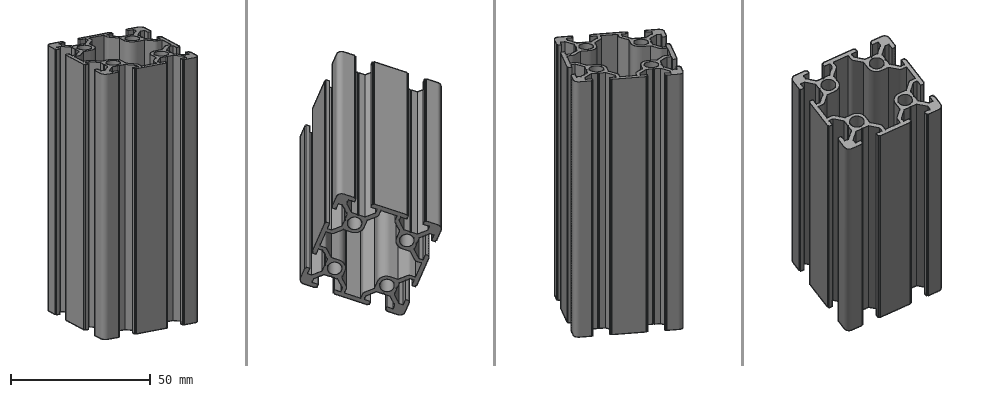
import cadquery as cq
import math

side = 40.0
length = 100.0
half_side = side / 2
corner_radius = 2.0

slot_offset = side / 4
slot_opening = 6.2
slot_inner_width = 11.0
slot_floor_width = 5.2
slot_depth = 6.2
lip_thickness = 1.7
step_width = 0.7
step_depth = 0.3
step_slant = 0.3
groove_width = 0.6
groove_depth = 0.3
flank_depth = slot_depth - (slot_inner_width - slot_floor_width) / 2

straight_wall = 1.4
slanted_wall = 1.6

bore_diameter = 5.2
boss_half_width = 3.8
boss_side = slot_offset - boss_half_width
boss_corner_radius = 3.5

bay_end = half_side - lip_thickness
bay_half_width = half_side - slot_offset - slot_inner_width / 2 - straight_wall
bend_radius = 1.5
slot_flank_sum = slot_offset - slot_inner_width / 2 + half_side - flank_depth
cavity_flank_sum = slot_flank_sum - slanted_wall * math.sqrt(2)
boss_shoulder = cavity_flank_sum - boss_side
bay_shoulder = cavity_flank_sum - bay_half_width


def extrude_outline(points):
    return cq.Workplane("XY").polyline(points).close().extrude(length)


def make_slot():
    """T-slot cutter in the -Y side, with stepped lips and a V-groove in its floor."""
    mouth_half = slot_opening / 2
    right_half = [
        (mouth_half + step_width, 0),
        (mouth_half + step_width - step_slant, step_depth),
        (mouth_half, step_depth),
        (mouth_half, lip_thickness),
        (slot_inner_width / 2, lip_thickness),
        (slot_inner_width / 2, flank_depth),
        (slot_floor_width / 2, slot_depth),
        (groove_width / 2, slot_depth),
    ]
    groove_bottom = [(0, slot_depth + groove_depth)]
    left_half = [(-x, depth) for x, depth in reversed(right_half)]
    return extrude_outline(right_half + groove_bottom + left_half).translate((0, -half_side, 0))


def make_cavity():
    """Middle cavity: a cross of four bays, with a rounded boss in each corner."""
    quarter_outline = [
        (bay_end, bay_half_width),
        (bay_shoulder, bay_half_width),
        (boss_shoulder, boss_side),
        (boss_side, boss_side),
        (boss_side, boss_shoulder),
        (bay_half_width, bay_shoulder),
        (bay_half_width, bay_end),
    ]
    outline = []
    for _ in range(4):
        outline += quarter_outline
        quarter_outline = [(-y, x) for x, y in quarter_outline]
    cavity = extrude_outline(outline)
    cavity = round_upright_edges(cavity, boss_side, boss_side, boss_corner_radius)
    return round_upright_edges(cavity, bay_half_width, bay_shoulder, bend_radius)


def round_upright_edges(body, near, far, radius):
    """Fillet the edges along Z that lie at distances near and far from the XZ and YZ planes."""
    tolerance = 0.01

    def is_wanted(edge):
        middle = edge.Center()
        small, large = sorted((abs(middle.x), abs(middle.y)))
        return abs(small - near) < tolerance and abs(large - far) < tolerance

    return body.edges("|Z").filter(is_wanted).fillet(radius)


bar = cq.Workplane("XY").rect(side, side).extrude(length).edges("|Z").fillet(corner_radius)

profile = bar.cut(make_cavity())

slot = make_slot()
for quarter in range(4):
    for offset in (-slot_offset, slot_offset):
        placed_slot = slot.translate((offset, 0, 0)).rotate((0, 0, 0), (0, 0, 1), 90 * quarter)
        profile = profile.cut(placed_slot)

bores = (
    cq.Workplane("XY")
    .rect(2 * slot_offset, 2 * slot_offset, forConstruction=True)
    .vertices()
    .circle(bore_diameter / 2)
    .extrude(length)
)

result = profile.cut(bores)